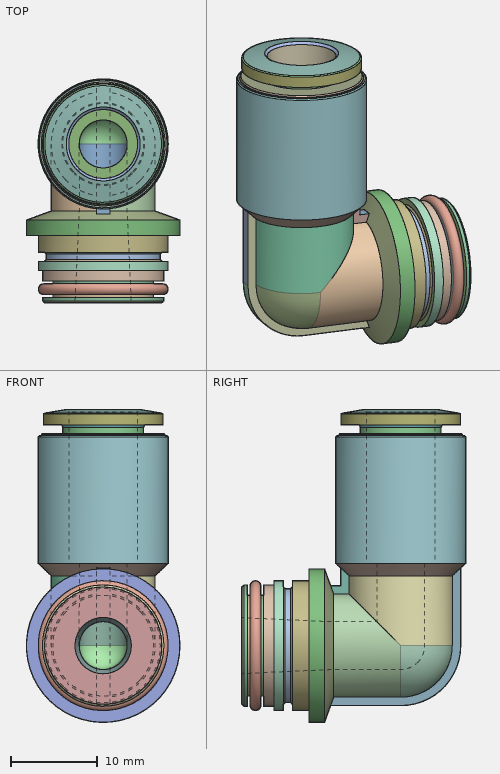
import cadquery as cq


elbow_radius = 11.97 / 2
bore_radius = 5.5 / 2
rib_radius = 6.92
rib_width = 1.55

barrel_radius = 15.0 / 2
barrel_cone_start = 8.05
barrel_bottom = 9.48
barrel_chamfer = 0.15
barrel_rim = 24.2

sleeve_radius = 7.15
sleeve_chamfer = 0.15
sleeve_top = 24.45

total_height = 36.05
flange_radius = 17.7 / 2

collar_neck_radius = 9.35 / 2
collar_neck_flare = 0.1
collar_neck_flare_height = 0.3
collar_radius = 13.8 / 2
collar_bottom = 25.4
collar_edge_top = 26.68
collar_edge_width = 0.18
collar_edge_height = 0.1
collar_top = total_height - flange_radius
tube_radius = 7.93 / 2
tube_lead_in = 0.3

flange_cone_start = 7.7
flange_back = 8.75
flange_front = 10.55
shoulder_radius = 14.95 / 2
shoulder_end = 12.47
clip_groove_radius = 13.15 / 2
clip_groove_end = 13.52
clip_groove_chamfer = 0.2
land_end = 14.6
nose_radius = 14.0 / 2
seal_groove_start = 15.8
seal_groove_end = 17.65
seal_groove_radius = 11.6 / 2
spigot_end = 18.3
nose_chamfer = 0.25
mouth_radius = 6.5 / 2

seal_center = 16.73
seal_section_radius = 1.25 / 2
seal_root_overlap = 0.35


def revolve_z(points):
    """Turn a (radius, height) outline about the Z axis."""
    return cq.Workplane("XZ").polyline(points).close().revolve(360, (0, 0, 0), (0, 1, 0))


def revolve_spigot(points):
    """Turn a (radius, distance) outline about the -Y axis."""
    outline = [(radius, -distance) for radius, distance in points]
    return cq.Workplane("XY").polyline(outline).close().revolve(360, (0, 0, 0), (0, 1, 0))


def make_elbow():
    ball = cq.Workplane("XY").sphere(elbow_radius)
    upright = cq.Workplane("XY").circle(elbow_radius).extrude(barrel_bottom)
    arm = cq.Workplane("XZ").circle(elbow_radius).extrude(flange_back)
    return ball.union(upright).union(arm)


def make_rib():
    """Central web that follows the elbow outside and fills its inner corner."""
    return (
        cq.Workplane("YZ")
        .moveTo(rib_radius, 0)
        .lineTo(rib_radius, barrel_bottom)
        .lineTo(-rib_radius, barrel_bottom)
        .lineTo(-rib_radius, rib_radius)
        .lineTo(-flange_back, rib_radius)
        .lineTo(-flange_back, -rib_radius)
        .lineTo(0, -rib_radius)
        .radiusArc((rib_radius, 0), -rib_radius)
        .close()
        .extrude(rib_width / 2, both=True)
    )


def make_barrel():
    """Barrel with its lower cone and the sleeve showing above its rim."""
    return revolve_z([
        (0, barrel_cone_start),
        (elbow_radius, barrel_cone_start),
        (barrel_radius, barrel_bottom),
        (barrel_radius, barrel_rim - barrel_chamfer),
        (barrel_radius - barrel_chamfer, barrel_rim),
        (sleeve_radius, barrel_rim),
        (sleeve_radius, sleeve_top - sleeve_chamfer),
        (sleeve_radius - sleeve_chamfer, sleeve_top),
        (0, sleeve_top),
    ])


def make_collar():
    return revolve_z([
        (0, barrel_bottom),
        (collar_neck_radius, barrel_bottom),
        (collar_neck_radius, collar_bottom - collar_neck_flare_height),
        (collar_neck_radius + collar_neck_flare, collar_bottom),
        (collar_radius, collar_bottom),
        (collar_radius, collar_edge_top),
        (collar_radius - collar_edge_width, collar_edge_top + collar_edge_height),
        (tube_radius + tube_lead_in, collar_top),
        (0, collar_top),
    ])


def make_spigot():
    clip_wall_radius = clip_groove_radius + clip_groove_chamfer
    return revolve_spigot([
        (0, flange_cone_start),
        (elbow_radius, flange_cone_start),
        (flange_radius, flange_back),
        (flange_radius, flange_front),
        (shoulder_radius, flange_front),
        (shoulder_radius, shoulder_end),
        (clip_wall_radius, shoulder_end),
        (clip_groove_radius, shoulder_end + clip_groove_chamfer),
        (clip_groove_radius, clip_groove_end - clip_groove_chamfer),
        (clip_wall_radius, clip_groove_end),
        (shoulder_radius, clip_groove_end),
        (shoulder_radius, land_end),
        (nose_radius, land_end),
        (nose_radius, seal_groove_start),
        (seal_groove_radius, seal_groove_start),
        (seal_groove_radius, seal_groove_end),
        (nose_radius, seal_groove_end),
        (nose_radius, spigot_end - nose_chamfer),
        (nose_radius - nose_chamfer, spigot_end),
        (0, spigot_end),
    ])


def make_seal():
    """Round-crowned ring whose straight sides run down to the groove floor."""
    crown_start = shoulder_radius - seal_section_radius
    seal_root_radius = seal_groove_radius - seal_root_overlap
    back = -seal_center + seal_section_radius
    front = -seal_center - seal_section_radius
    return (
        cq.Workplane("XY")
        .moveTo(seal_root_radius, back)
        .lineTo(crown_start, back)
        .threePointArc((shoulder_radius, -seal_center), (crown_start, front))
        .lineTo(seal_root_radius, front)
        .close()
        .revolve(360, (0, 0, 0), (0, 1, 0))
    )


def make_passage():
    """Tube socket with lead-in, round inner corner and tapered spigot bore."""
    corner = cq.Workplane("XY").sphere(bore_radius)
    socket = revolve_z([
        (0, 0),
        (bore_radius, 0),
        (bore_radius, barrel_bottom),
        (tube_radius, barrel_bottom),
        (tube_radius, collar_top - tube_lead_in),
        (tube_radius + tube_lead_in, collar_top),
        (0, collar_top),
    ])
    outlet = revolve_spigot([
        (0, 0),
        (bore_radius, 0),
        (bore_radius, flange_cone_start),
        (mouth_radius, spigot_end),
        (0, spigot_end),
    ])
    return corner.union(socket).union(outlet)


body = make_elbow().union(make_rib()).union(make_barrel()).union(make_collar())
body = body.union(make_spigot()).union(make_seal())
result = body.cut(make_passage())